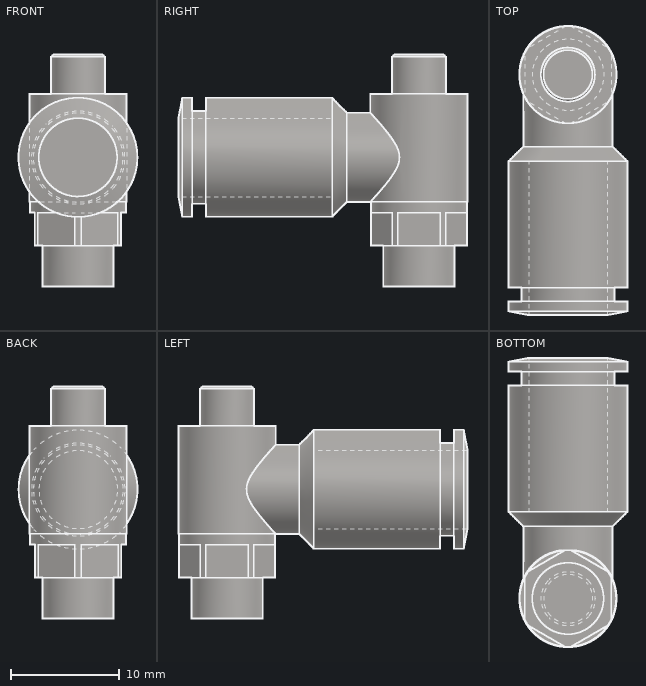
import cadquery as cq

thread_diameter = 6.6
hex_across_flats = 8.0
collar_diameter = 8.9
body_diameter = 9.0
pin_diameter = 5.0
pin_chamfer = 0.25

thread_top = 3.8
hex_top = 6.85
collar_top = 7.85
body_top = 17.8
pin_top = 21.46

outlet_height = 11.95
neck_diameter = 8.25
sleeve_diameter = 11.0
groove_diameter = 8.6
bore_diameter = 7.25

overall_length = 26.73
outlet_end = overall_length - body_diameter / 2
neck_end = 6.65
sleeve_start = 8.02
sleeve_end = 19.67
flange_start = 20.95
flange_rim_end = 21.87


def upright_cylinder(diameter, bottom, top):
    """Cylinder on the stem axis between two levels."""
    return cq.Workplane("XY").workplane(offset=bottom).circle(diameter / 2).extrude(top - bottom)


def make_hexagon():
    """Hexagon with flats facing X and corners rounded to the collar diameter."""
    height = hex_top - thread_top
    prism = (
        cq.Workplane("XY")
        .workplane(offset=thread_top)
        .polygon(6, hex_across_flats, circumscribed=True)
        .extrude(height)
    )
    return prism.intersect(upright_cylinder(collar_diameter, thread_top, hex_top))


def make_stem():
    """Thread, hexagon, collar, round body and chamfered pin, stacked along Z."""
    pin = upright_cylinder(pin_diameter, body_top, pin_top).faces(">Z").chamfer(pin_chamfer)
    return (
        upright_cylinder(thread_diameter, 0, thread_top)
        .union(make_hexagon())
        .union(upright_cylinder(collar_diameter, hex_top, collar_top))
        .union(upright_cylinder(body_diameter, collar_top, body_top))
        .union(pin)
    )


def make_outlet():
    """Solid of revolution: neck, shoulder cone, sleeve, groove and flange with a tapered face."""
    profile = [
        (0, 0),
        (neck_diameter / 2, 0),
        (neck_diameter / 2, -neck_end),
        (sleeve_diameter / 2, -sleeve_start),
        (sleeve_diameter / 2, -sleeve_end),
        (groove_diameter / 2, -sleeve_end),
        (groove_diameter / 2, -flange_start),
        (sleeve_diameter / 2, -flange_start),
        (sleeve_diameter / 2, -flange_rim_end),
        (bore_diameter / 2, -outlet_end),
        (bore_diameter / 2, -sleeve_start),
        (0, -sleeve_start),
    ]
    return (
        cq.Workplane("XY")
        .workplane(offset=outlet_height)
        .polyline(profile)
        .close()
        .revolve(360, (0, 0, 0), (0, 1, 0))
    )


result = make_stem().union(make_outlet())